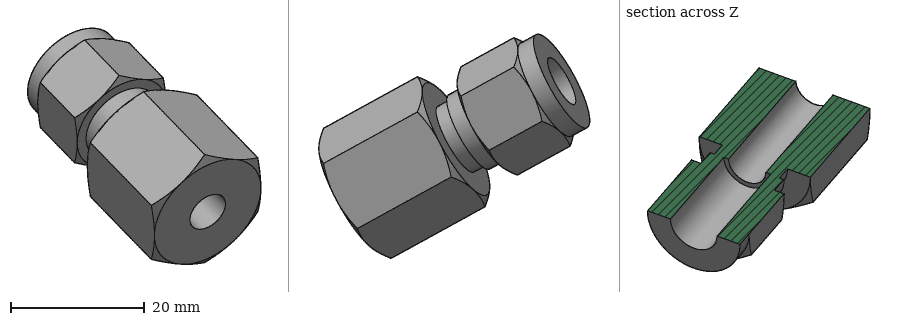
import cadquery as cq
import math


hexagon_sides = 6
nut_flats = 15.87
body_flats = 19.05
chamfer_angle = 30.0

nut_start = 2.75
nut_end = 13.48
collar_end = 16.28
neck_end = 18.6
body_end = 36.83

sleeve_diameter = nut_flats
collar_diameter = 12.7
neck_diameter = 11.25

socket_diameter = 7.95
socket_depth = collar_end
bore_diameter = 6.35


def cylinder_along_x(start, end, diameter):
    """Round bar on the X axis between two stations."""
    return cq.Workplane("YZ", origin=(start, 0, 0)).circle(diameter / 2).extrude(end - start)


def chamfered_hexagon(start, end, flats):
    """Hexagonal bar with conical corner chamfers that meet the middle of each flat at both ends."""
    length = end - start
    flat_radius = flats / 2
    corner_radius = flat_radius / math.cos(math.pi / hexagon_sides)
    chamfer_length = (corner_radius - flat_radius) * math.tan(math.radians(chamfer_angle))

    hexagon = (
        cq.Workplane("YZ", origin=(start, 0, 0))
        .transformed(rotate=(0, 0, 90))
        .polygon(hexagon_sides, 2 * corner_radius)
        .extrude(length)
    )

    envelope = (
        cq.Workplane("XY")
        .moveTo(start, 0)
        .lineTo(start, flat_radius)
        .lineTo(start + chamfer_length, corner_radius)
        .lineTo(end - chamfer_length, corner_radius)
        .lineTo(end, flat_radius)
        .lineTo(end, 0)
        .close()
        .revolve(360, (0, 0, 0), (1, 0, 0))
    )
    return hexagon.intersect(envelope)


sleeve = cylinder_along_x(0, nut_start, sleeve_diameter)
nut = chamfered_hexagon(nut_start, nut_end, nut_flats)
collar = cylinder_along_x(nut_end, collar_end, collar_diameter)
neck = cylinder_along_x(collar_end, neck_end, neck_diameter)
body = chamfered_hexagon(neck_end, body_end, body_flats)
outer_form = sleeve.union(nut).union(collar).union(neck).union(body)

tube_socket = cylinder_along_x(0, socket_depth, socket_diameter)
flow_bore = cylinder_along_x(0, body_end, bore_diameter)

result = outer_form.cut(tube_socket).cut(flow_bore)